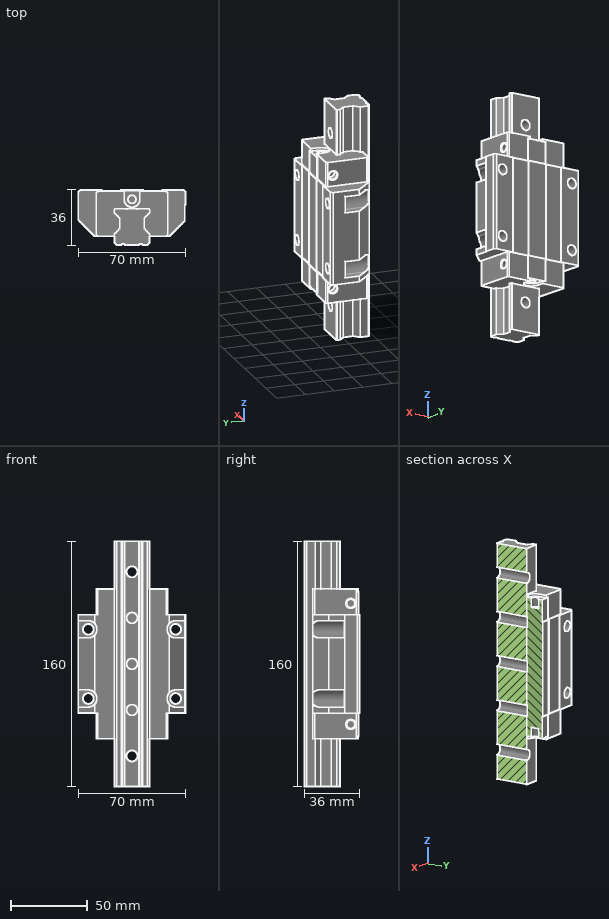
import cadquery as cq

rail_length = 160.0
rail_half_width = 11.5
rail_height = 23.5
rail_waist_half_width = 8.0
rail_base_chamfer = 1.5
rail_head_chamfer = 0.5
flank_base_y = 7.0
flank_waist_low_y = 10.7
flank_waist_high_y = 17.6
flank_head_y = 21.0

rail_hole_diameter = 7.0
rail_hole_count = 5
rail_hole_end_margin = 20.0
rail_hole_pitch = (rail_length - 2 * rail_hole_end_margin) / (rail_hole_count - 1)

relief_center_x = 5.8
relief_outer_width = 2.4
relief_floor_width = 1.5
relief_depth = 0.6

top_y = 36.0
bottom_y = 5.6
body_length = 64.2
body_half_width = 35.0
body_top_chamfer = 1.5
keel_half_width = 24.3
flank_rise = body_half_width - keel_half_width

top_recess_inner_x = 7.2
top_recess_outer_x = 19.8
top_recess_depth = 0.5

edge_relief_depth = 0.5
edge_relief_top_y = 26.4

carriage_length = 97.8
cap_length = (carriage_length - body_length) / 2
cap_half_width = 23.4
cap_top_y = 35.0
cap_chamfer = 1.1

cap_strip_top_y = top_y - top_recess_depth
cap_strip_half_width = top_recess_inner_x

port_y = 29.8
port_recess_radius = 5.1
port_recess_depth = 1.8
port_diameter = 5.3
port_depth = 8.0

side_port_y = 30.2
side_port_from_end = 9.5
side_port_diameter = 5.5
side_port_mouth_diameter = 6.4
side_port_depth = 4.8

flange_hole_x = 28.5
flange_hole_z = 22.5
flange_hole_diameter = 6.9
pocket_radius = 5.6
pocket_floor_y = 26.0


def prism(outline, length):
    """Extrude a closed XY outline along Z, centred on Z = 0."""
    return outline.close().extrude(length / 2, both=True)


def box(x_range, y_range, z_range):
    """Axis-aligned block between the given limits."""
    sizes = [high - low for low, high in (x_range, y_range, z_range)]
    return cq.Workplane("XY").box(*sizes, centered=False).translate((x_range[0], y_range[0], z_range[0]))


def y_cylinder(x, z, radius, y_low, y_high):
    """Cylinder along Y."""
    axis_point = cq.Vector(x, y_low, z)
    return cq.Workplane(cq.Solid.makeCylinder(radius, y_high - y_low, axis_point, cq.Vector(0, 1, 0)))


def rail_profile_prism():
    """Rail section without grooves or holes, also used to cut the channel in the carriage."""
    right_side = [
        (rail_half_width - rail_base_chamfer, 0),
        (rail_half_width, rail_base_chamfer),
        (rail_half_width, flank_base_y),
        (rail_waist_half_width, flank_waist_low_y),
        (rail_waist_half_width, flank_waist_high_y),
        (rail_half_width, flank_head_y),
        (rail_half_width, rail_height - rail_head_chamfer),
        (rail_half_width - rail_head_chamfer, rail_height),
    ]
    left_side = [(-x, y) for x, y in reversed(right_side)]
    return prism(cq.Workplane("XY").polyline(right_side + left_side), rail_length)


def relief_groove(center_x):
    """Trapezoidal groove along the mounting face."""
    outline = cq.Workplane("XY").polyline([
        (center_x - relief_outer_width / 2, 0),
        (center_x - relief_floor_width / 2, relief_depth),
        (center_x + relief_floor_width / 2, relief_depth),
        (center_x + relief_outer_width / 2, 0),
    ])
    return prism(outline, rail_length)


def make_rail():
    rail = rail_profile_prism()
    for side in (-1, 1):
        rail = rail.cut(relief_groove(side * relief_center_x))
    for index in range(rail_hole_count):
        hole_z = -rail_length / 2 + rail_hole_end_margin + index * rail_hole_pitch
        rail = rail.cut(y_cylinder(0, hole_z, rail_hole_diameter / 2, 0, rail_height))
    return rail


def carriage_body():
    """Flanged centre block with the recessed strips and reference edge."""
    right_side = [
        (keel_half_width, bottom_y),
        (body_half_width, bottom_y + flank_rise),
        (body_half_width, top_y - body_top_chamfer),
        (body_half_width - body_top_chamfer, top_y),
    ]
    left_side = [(-x, y) for x, y in reversed(right_side)]
    body = prism(cq.Workplane("XY").polyline(right_side + left_side), body_length)

    half_length = body_length / 2
    strip = box(
        (top_recess_inner_x, top_recess_outer_x),
        (top_y - top_recess_depth, top_y),
        (-half_length, half_length),
    )
    edge_relief = box(
        (body_half_width - edge_relief_depth, body_half_width),
        (bottom_y, edge_relief_top_y),
        (-half_length, half_length),
    )
    return body.cut(strip).cut(strip.mirror("YZ")).cut(edge_relief)


def flange_hole(side, hole_z):
    """Through hole with a round-ended pocket that opens through the outer flank."""
    center_x = side * flange_hole_x
    hole = y_cylinder(center_x, hole_z, flange_hole_diameter / 2, bottom_y, top_y)
    pocket_end = y_cylinder(center_x, hole_z, pocket_radius, bottom_y, pocket_floor_y)
    pocket_mouth = box(
        sorted((center_x, side * body_half_width)),
        (bottom_y, pocket_floor_y),
        (hole_z - pocket_radius, hole_z + pocket_radius),
    )
    return hole.union(pocket_end).union(pocket_mouth)


def end_cap():
    """Cap at the +Z end of the carriage body, with its raised strip and three ports."""
    cap_center_y = (cap_top_y + bottom_y) / 2
    cap = (
        cq.Workplane("XY", origin=(0, cap_center_y, body_length / 2))
        .rect(2 * cap_half_width, cap_top_y - bottom_y)
        .extrude(cap_length)
        .edges("|Z")
        .chamfer(cap_chamfer)
    )
    end_z = carriage_length / 2
    end_plane = cq.Workplane("XY", origin=(0, port_y, end_z))
    recess = end_plane.circle(port_recess_radius).extrude(-port_recess_depth)
    recess_mouth = box(
        (-port_recess_radius, port_recess_radius),
        (port_y, cap_top_y),
        (end_z - port_recess_depth, end_z),
    )
    port = end_plane.circle(port_diameter / 2).extrude(-port_depth)
    raised_strip = box(
        (-cap_strip_half_width, cap_strip_half_width),
        (cap_top_y, cap_strip_top_y),
        (body_length / 2, end_z - port_recess_depth),
    )
    cap = cap.cut(recess).cut(recess_mouth).cut(port).union(raised_strip)

    mouth_depth = (side_port_mouth_diameter - side_port_diameter) / 2
    for side in (-1, 1):
        mouth = cq.Vector(side * cap_half_width, side_port_y, end_z - side_port_from_end)
        inward = cq.Vector(-side, 0, 0)
        bore = cq.Solid.makeCylinder(side_port_diameter / 2, side_port_depth, mouth, inward)
        countersink = cq.Solid.makeCone(
            side_port_mouth_diameter / 2, side_port_diameter / 2, mouth_depth, mouth, inward
        )
        cap = cap.cut(cq.Workplane(bore)).cut(cq.Workplane(countersink))
    return cap


def make_carriage():
    cap = end_cap()
    carriage = carriage_body()
    for side in (-1, 1):
        for hole_z in (-flange_hole_z, flange_hole_z):
            carriage = carriage.cut(flange_hole(side, hole_z))
    carriage = carriage.union(cap).union(cap.mirror("XY"))
    return carriage.cut(rail_profile_prism())


rail = make_rail()
carriage = make_carriage()

result = cq.Compound.makeCompound([rail.val(), carriage.val()])